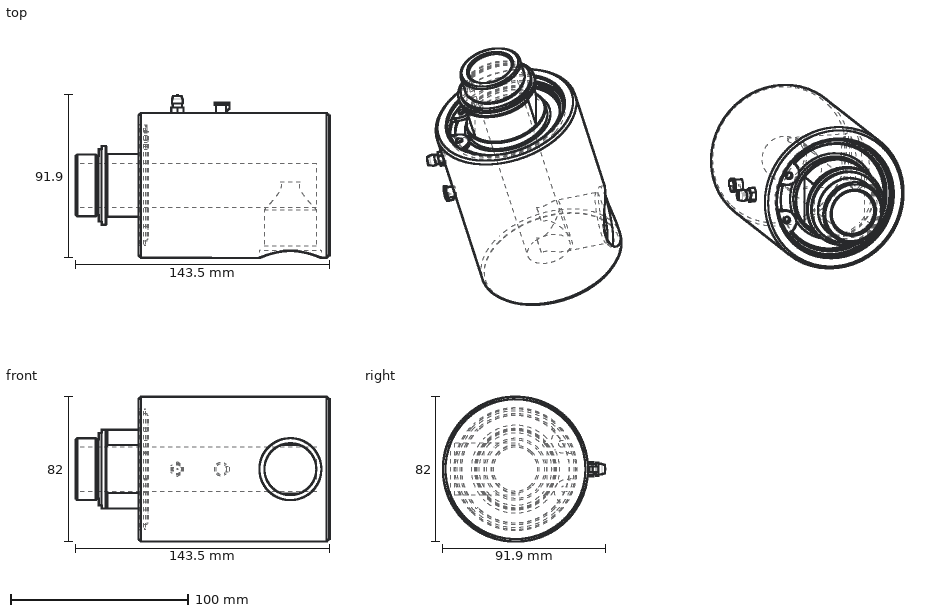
import cadquery as cq
import math

total_length = 143.46
total_width = 91.91

body_dia = 82.0
body_start = 35.46
body_chamfer = 1.5
end_lip = 0.4

thread_dia = 35.0
thread_chamfer = 1.0
thread_end = 11.2
relief_dia = 33.0
relief_chamfer = (thread_dia - relief_dia) / 2
seat_dia = 41.0
seat_start = 12.9
shaft_dia = 44.65
collar_start = 14.7
flats_start = 17.4
shaft_edge_chamfer = 0.5
flats_width = 35.5
flats_end = 36.2
shoulder_dia = 46.2
shoulder_chamfer = 0.4

bore_dia = 25.0
bore_chamfer = 0.9

recess_dia = 68.1
recess_chamfer = 0.7
ring_face = body_start + 2.8
ring_thickness = 1.9
ring_back = ring_face + ring_thickness
ring_bevel = 1.05
ring_inner_dia = 62.8
seat_bore_dia = 66.2
seat_bore_depth = 0.2
seal_mouth_dia = 61.1
seal_mouth_depth = 0.5
seal_dia = 60.73
seal_face = ring_back + 0.9
seal_lip_dia = 49.77
seal_lip_height = 0.2

lug_radius = 6.8
lug_pitch_radius = ring_inner_dia / 2
lug_half_angle = 27.0
lug_hole_dia = 3.72
hole_pitch_radius = 29.85
hole_half_angle = 25.5
ring_turn = 3.2
ring_gap = 14.2

port_x = 121.2
port_dia = 35.0
port_thread_floor = 36.8
port_drill_dia = 29.3
port_cone_depth = 2.5
port_floor = 2.0

tube_dia = 27.5
bore_end = port_x + port_drill_dia / 2

nipple_x = 57.4
hex_sides = 6
hex_width = 7.0
hex_top = 44.0
nipple_neck_dia = 5.3
nipple_head_start = 46.2
nipple_head_end_dia = 5.9
nipple_head_dia = 6.35
nipple_head_end = 48.8
nipple_top_dia = 4.8
nipple_top = 50.6
ball_dia = 0.5
nipple_tip = total_width - body_dia / 2

plug_x = 82.15
plug_dia = 6.0
plug_cap_dia = 7.7
plug_cap_start = 45.4
plug_top = 46.8
plug_tab_reach = 4.8
plug_tab_bottom = 43.4
plug_tab_root = 41.9
plug_tab_width = 3.0

embed = 4.0


def x_cylinder(diameter, start, end):
    return cq.Workplane("YZ", origin=(start, 0, 0)).circle(diameter / 2).extrude(end - start)


def y_cylinder(diameter, x, start, end):
    return cq.Workplane("XZ", origin=(x, start, 0)).circle(diameter / 2).extrude(start - end)


def make_housing():
    plain_end = total_length - end_lip
    housing = x_cylinder(body_dia, body_start, plain_end).edges("%CIRCLE").chamfer(body_chamfer)
    lip = x_cylinder(body_dia - 2 * body_chamfer, plain_end, total_length)
    return housing.union(lip)


def cut_recess(housing):
    recess_mouth = x_cylinder(recess_dia, body_start, ring_back)
    mouth_chamfer = cq.Workplane(cq.Solid.makeCone(
        recess_dia / 2 + recess_chamfer, recess_dia / 2, recess_chamfer,
        pnt=cq.Vector(body_start, 0, 0), dir=cq.Vector(1, 0, 0)))
    ring_seat = x_cylinder(seat_bore_dia, ring_back, ring_back + seat_bore_depth)
    seal_mouth = x_cylinder(seal_mouth_dia, ring_back, ring_back + seal_mouth_depth)
    seal_pocket = x_cylinder(seal_dia, ring_back, seal_face)
    seal_lip = x_cylinder(seal_lip_dia, seal_face - seal_lip_height, seal_face)
    housing = housing.cut(recess_mouth).cut(mouth_chamfer).cut(ring_seat)
    return housing.cut(seal_mouth).cut(seal_pocket).union(seal_lip)


def mirrored_points(pitch_radius, half_angle):
    y = pitch_radius * math.cos(math.radians(half_angle))
    z = pitch_radius * math.sin(math.radians(half_angle))
    return [(y, z), (y, -z)]


def make_retaining_ring():
    thickness = ring_thickness + seat_bore_depth
    disc = x_cylinder(recess_dia, 0, thickness).faces("<X").chamfer(ring_bevel)
    ring = disc.cut(x_cylinder(ring_inner_dia, 0, thickness))
    lug_centers = mirrored_points(lug_pitch_radius, lug_half_angle)
    hole_centers = mirrored_points(hole_pitch_radius, hole_half_angle)
    lugs = cq.Workplane("YZ").pushPoints(lug_centers).circle(lug_radius).extrude(thickness).intersect(disc)
    holes = cq.Workplane("YZ").pushPoints(hole_centers).circle(lug_hole_dia / 2).extrude(thickness)
    gap = cq.Workplane("XY").box(thickness, recess_dia / 2, ring_gap, centered=(False, False, True))
    ring = ring.union(lugs).cut(holes).cut(gap)
    return ring.rotate((0, 0, 0), (1, 0, 0), ring_turn).translate((ring_face, 0, 0))


def make_rotor():
    outline = [
        (0, 0),
        (0, thread_dia / 2 - thread_chamfer),
        (thread_chamfer, thread_dia / 2),
        (thread_end, thread_dia / 2),
        (thread_end + relief_chamfer, relief_dia / 2),
        (seat_start, relief_dia / 2),
        (seat_start, seat_dia / 2),
        (collar_start, seat_dia / 2),
        (collar_start, shaft_dia / 2),
        (flats_start - shaft_edge_chamfer, shaft_dia / 2),
        (flats_start, shaft_dia / 2 - shaft_edge_chamfer),
        (flats_start + shaft_edge_chamfer, shaft_dia / 2),
        (flats_end, shaft_dia / 2),
        (flats_end, shoulder_dia / 2 - shoulder_chamfer),
        (flats_end + shoulder_chamfer, shoulder_dia / 2),
        (seal_face, shoulder_dia / 2),
        (seal_face, 0),
    ]
    rotor = cq.Workplane("XY").polyline(outline).close().revolve(360, (0, 0, 0), (1, 0, 0))
    flats_length = flats_end - flats_start
    for side in (1, -1):
        cutter = cq.Workplane("XY").box(flats_length, shaft_dia, shaft_dia, centered=(False, True, True))
        rotor = rotor.cut(cutter.translate((flats_start, side * (flats_width + shaft_dia) / 2, 0)))
    return rotor


def make_nipple():
    wall = body_dia / 2 - embed
    hexagon = (
        cq.Workplane("XZ", origin=(nipple_x, wall, 0))
        .polygon(hex_sides, hex_width, circumscribed=True)
        .extrude(wall - hex_top)
    )
    head = (
        cq.Workplane("XY")
        .moveTo(0, wall)
        .lineTo(nipple_neck_dia / 2, wall)
        .lineTo(nipple_neck_dia / 2, nipple_head_start)
        .lineTo(nipple_head_end_dia / 2, nipple_head_start)
        .threePointArc(
            (nipple_head_dia / 2, (nipple_head_start + nipple_head_end) / 2),
            (nipple_head_end_dia / 2, nipple_head_end),
        )
        .lineTo(nipple_top_dia / 2, nipple_top)
        .lineTo(0, nipple_top)
        .close()
        .revolve(360, (0, 0, 0), (0, 1, 0))
    )
    ball = y_cylinder(ball_dia, nipple_x, nipple_top, nipple_tip)
    return hexagon.union(head.translate((nipple_x, 0, 0))).union(ball)


def make_plug():
    wall = body_dia / 2 - embed
    stem = y_cylinder(plug_dia, plug_x, wall, plug_top)
    cap = y_cylinder(plug_cap_dia, plug_x, plug_cap_start, plug_top)
    tab = (
        cq.Workplane("XY", origin=(plug_x, 0, -plug_tab_width / 2))
        .moveTo(0, plug_top)
        .lineTo(plug_tab_reach, plug_top)
        .lineTo(plug_tab_reach, plug_tab_bottom)
        .lineTo(plug_dia / 2, plug_tab_root)
        .lineTo(0, plug_tab_root)
        .close()
        .extrude(plug_tab_width)
    )
    return stem.union(cap).union(tab)


def make_passage():
    mouth = cq.Workplane(cq.Solid.makeCone(
        bore_dia / 2 + bore_chamfer, bore_dia / 2, bore_chamfer, dir=cq.Vector(1, 0, 0)))
    return x_cylinder(bore_dia, 0, bore_end).union(mouth)


def make_port():
    profile = [
        (0, port_floor),
        (port_drill_dia / 2, port_floor),
        (port_drill_dia / 2, port_cone_depth - port_thread_floor),
        (port_dia / 2, -port_thread_floor),
        (port_dia / 2, -body_dia / 2),
        (0, -body_dia / 2),
    ]
    port = cq.Workplane("XY").polyline(profile).close().revolve(360, (0, 0, 0), (0, 1, 0))
    port = port.translate((port_x, 0, 0))
    tube = x_cylinder(tube_dia, body_start, total_length)
    return port.cut(tube)


housing = cut_recess(make_housing())
result = (
    housing.union(make_rotor())
    .union(make_retaining_ring())
    .union(make_nipple())
    .union(make_plug())
    .cut(make_passage())
    .cut(make_port())
)